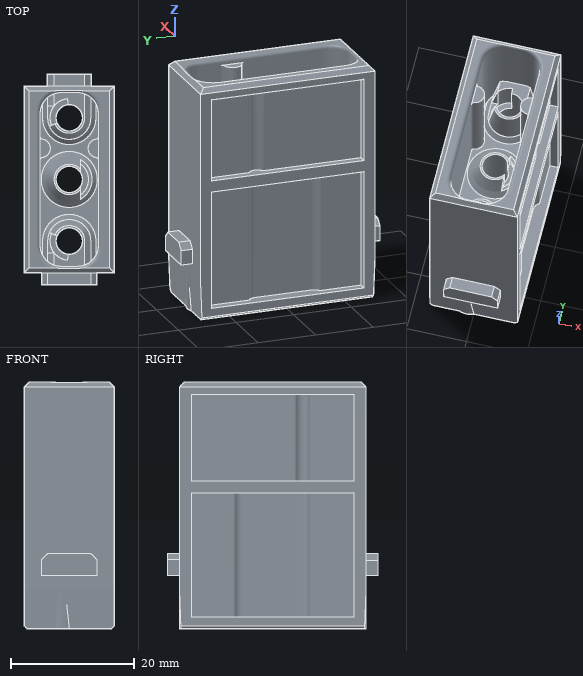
import cadquery as cq
import math

BODY_X = 14.65
BODY_Y = 30.3
BODY_Z = 40.1
TOP_CHAMFER = 0.8
BOTTOM_CHAMFER = 0.5

FOOT_HEIGHT = 6.5
FOOT_INSET = 0.25
FOOT_RIB_RADIUS = 3.0
FOOT_RIB_X = -1.18

OVERALL_Y = 34.2
LUG_REACH = (OVERALL_Y - BODY_Y) / 2
LUG_BOTTOM = 8.65
LUG_HEIGHT = 3.6
FRONT_LUG_CHAMFER = 1.0
BACK_LUG_CHAMFER = 1.1
FRONT_LUG_WIDTH = 9.0
BACK_LUG_WIDTH = 7.2

CAVITY_X = 9.46
CAVITY_Y = 28.2
CAVITY_CORNER = 3.4
CAVITY_FLOOR = 22.1
RIM_FILLET = 0.65

RIB_Y = 5.05
RIB_REACH = 1.66
RIB_FOOT_RADIUS = 0.4
RIB_NOSE_RADIUS = 1.5
RIB_TOP = 39.0

PANEL_Y = 26.45
PANEL_DEPTH = 1.4
UPPER_PANEL_Z = (24.05, 38.1)
LOWER_PANEL_Z = (1.95, 22.1)
GROOVE_Y = 4.95
GROOVE_DEPTH = 0.76
GROOVE_EDGE_RADIUS = 0.46
GROOVE_BOTTOM_RADIUS = 1.27

BORE_PITCH = 10.0
BORE_RADIUS = 2.125
COLLAR_BASE_HEIGHT = 0.85
NECK_BOTTOM = CAVITY_FLOOR + COLLAR_BASE_HEIGHT
END_COLLAR_RADII = (4.33, 3.5, 2.5)
END_NECK_HEIGHT = 4.5
MIDDLE_COLLAR_RADII = (4.55, 3.7, 2.45)
MIDDLE_NECK_HEIGHT = 1.9

RECESS_RADIUS = 3.12
END_NOTCH_Y = 1.95
END_RECESS_START = 95.0
END_RECESS_END = 203.0
MIDDLE_NOTCH_X = 1.8


def block(x_range, y_range, z_range):
    """Axis-aligned box from its three (low, high) ranges."""
    sizes = [high - low for low, high in (x_range, y_range, z_range)]
    corner = (x_range[0], y_range[0], z_range[0])
    return cq.Workplane("XY").box(*sizes, centered=False).translate(corner)


def at_height(z):
    """Horizontal workplane at the given height."""
    return cq.Workplane("XY", origin=(0, 0, z))


def polar(radius, degrees):
    """Point at a radius and angle about the origin."""
    angle = math.radians(degrees)
    return (radius * math.cos(angle), radius * math.sin(angle))


def outer_block():
    """Plain block with drafted ends, foot ribs and bottom chamfers."""
    half_y = BODY_Y / 2
    side = [
        (half_y - FOOT_INSET, 0),
        (half_y, FOOT_HEIGHT),
        (half_y, BODY_Z),
        (-half_y, BODY_Z),
        (-half_y, FOOT_HEIGHT),
        (FOOT_INSET - half_y, 0),
    ]
    shape = cq.Workplane("YZ").polyline(side).close().extrude(BODY_X / 2, both=True)
    shape = shape.faces("<Z").edges("|Y").chamfer(BOTTOM_CHAMFER)
    for end in (-1, 1):
        rib_y = end * (half_y - FOOT_RIB_RADIUS)
        rib = cq.Workplane("XY").center(FOOT_RIB_X, rib_y).circle(FOOT_RIB_RADIUS).extrude(FOOT_HEIGHT)
        shape = shape.union(rib)
    return shape


def cavity():
    """Rounded pocket from the cavity floor to the top of the body."""
    pocket = at_height(CAVITY_FLOOR).rect(CAVITY_X, CAVITY_Y).extrude(BODY_Z - CAVITY_FLOOR)
    return pocket.edges("|Z").fillet(CAVITY_CORNER)


def shell():
    """Block with the cavity, its rounded rim, and the chamfer around the top."""
    shape = outer_block().cut(cavity())
    inside_top = cq.selectors.BoxSelector(
        (-BODY_X / 2 + TOP_CHAMFER, -BODY_Y / 2 + TOP_CHAMFER, BODY_Z - TOP_CHAMFER),
        (BODY_X / 2 - TOP_CHAMFER, BODY_Y / 2 - TOP_CHAMFER, BODY_Z + TOP_CHAMFER),
    )
    shape = shape.faces(">Z").edges(inside_top).fillet(RIM_FILLET)
    envelope = cq.Workplane("XY").rect(BODY_X, BODY_Y).extrude(BODY_Z)
    return shape.intersect(envelope.faces(">Z").chamfer(TOP_CHAMFER))


def lug(width, chamfer, end):
    """Keying lug with two chamfered upper corners; end is -1 (-Y) or 1 (+Y)."""
    half = width / 2
    top = LUG_BOTTOM + LUG_HEIGHT
    outline = [
        (-half, LUG_BOTTOM),
        (half, LUG_BOTTOM),
        (half, top - chamfer),
        (half - chamfer, top),
        (chamfer - half, top),
        (-half, top - chamfer),
    ]
    start = cq.Workplane("XZ", origin=(0, end * BODY_Y / 2, 0))
    return start.polyline(outline).close().extrude(-end * LUG_REACH)


def round_ridge(base_x, reach, foot_radius, nose_radius, y_range, z_range):
    """Ridge rising toward +X from the plane base_x.

    Each flank is a concave foot arc running tangent into a convex nose arc.
    The noses start at the two values of y_range, with a flat between them if those differ.
    """
    both_radii = foot_radius + nose_radius
    turn = math.acos(1 - reach / both_radii)
    half_turn = turn / 2
    nose_x = base_x + reach - nose_radius
    foot_x = base_x + foot_radius

    def flank(nose_y, side):
        """Points from the foot up to the nose, including the middle of both arcs."""
        foot_y = nose_y + side * both_radii * math.sin(turn)
        return [
            (base_x, foot_y),
            (foot_x - foot_radius * math.cos(half_turn), foot_y - side * foot_radius * math.sin(half_turn)),
            (nose_x + nose_radius * math.cos(turn), nose_y + side * nose_radius * math.sin(turn)),
            (nose_x + nose_radius * math.cos(half_turn), nose_y + side * nose_radius * math.sin(half_turn)),
            (base_x + reach, nose_y),
        ]

    low_y, high_y = y_range
    low = flank(low_y, -1)
    high = flank(high_y, 1)
    outline = at_height(z_range[0]).moveTo(*low[0])
    outline = outline.threePointArc(low[1], low[2]).threePointArc(low[3], low[4])
    if high_y > low_y:
        outline = outline.lineTo(*high[4])
    outline = outline.threePointArc(high[3], high[2]).threePointArc(high[1], high[0])
    return outline.close().extrude(z_range[1] - z_range[0])


def cavity_rib():
    """Rib on the -X wall of the cavity."""
    return round_ridge(
        -CAVITY_X / 2, RIB_REACH, RIB_FOOT_RADIUS, RIB_NOSE_RADIUS, (RIB_Y, RIB_Y), (CAVITY_FLOOR, RIB_TOP)
    )


def side_panels():
    """Cut for both recessed panels of the -X side with their grooves."""
    outer_x = -BODY_X / 2
    floor_x = outer_x + PANEL_DEPTH
    panel_y = (-PANEL_Y / 2, PANEL_Y / 2)
    grooves = [(UPPER_PANEL_Z, (GROOVE_Y, GROOVE_Y)), (LOWER_PANEL_Z, (-GROOVE_Y, GROOVE_Y))]
    cut = cq.Workplane("XY")
    for z_range, groove_y in grooves:
        groove = round_ridge(
            floor_x, GROOVE_DEPTH, GROOVE_EDGE_RADIUS, GROOVE_BOTTOM_RADIUS, groove_y, z_range
        )
        cut = cut.add(block((outer_x, floor_x), panel_y, z_range).union(groove))
    return cut.combine()


def collar_outline(radii, neck_height):
    """Radius and Z pairs of a collar, from its base up."""
    return list(zip(radii, (CAVITY_FLOOR, NECK_BOTTOM, NECK_BOTTOM + neck_height)))


def round_collar(outline):
    """Collar revolved about the Z axis."""
    points = [(0, outline[0][1])] + outline + [(0, outline[-1][1])]
    return cq.Workplane("XZ").polyline(points).close().revolve(360, (0, 0), (0, 1))


def end_collar():
    """Collar of the +Y bore, run out to the end wall, notched on its -X flank."""
    right = collar_outline(END_COLLAR_RADII, END_NECK_HEIGHT)
    left = [(-x, z) for x, z in reversed(right)]
    run_out = CAVITY_Y / 2 - BORE_PITCH
    ridge = cq.Workplane("XZ").polyline(right + left).close().extrude(-run_out)
    collar = round_collar(right).union(ridge)

    neck_radius = END_COLLAR_RADII[1]
    notch_end_y = -neck_radius * math.tan(math.radians(END_RECESS_END - 180))
    notch_outline = [(0, 0), (0, END_NOTCH_Y), (-neck_radius, END_NOTCH_Y), (-neck_radius, notch_end_y)]
    notch = at_height(NECK_BOTTOM).polyline(notch_outline).close().extrude(END_NECK_HEIGHT)

    middle = (END_RECESS_START + END_RECESS_END) / 2
    start, half_way, stop = [polar(RECESS_RADIUS, a) for a in (END_RECESS_START, middle, END_RECESS_END)]
    recess = at_height(CAVITY_FLOOR).lineTo(*start).threePointArc(half_way, stop).close()
    recess = recess.extrude(COLLAR_BASE_HEIGHT + END_NECK_HEIGHT)
    return collar.cut(notch).cut(recess).translate((0, BORE_PITCH, 0)).intersect(cavity())


def middle_collar():
    """Collar of the middle bore, notched on its +X flank."""
    collar = round_collar(collar_outline(MIDDLE_COLLAR_RADII, MIDDLE_NECK_HEIGHT))
    neck_radius = MIDDLE_COLLAR_RADII[1]
    top = NECK_BOTTOM + MIDDLE_NECK_HEIGHT
    flank = block((MIDDLE_NOTCH_X, neck_radius), (-neck_radius, neck_radius), (CAVITY_FLOOR, top))
    notch = at_height(NECK_BOTTOM).circle(neck_radius).extrude(MIDDLE_NECK_HEIGHT)
    recess = at_height(CAVITY_FLOOR).circle(RECESS_RADIUS).extrude(top - CAVITY_FLOOR)
    return collar.cut(notch.union(recess).intersect(flank))


part = shell()
part = part.union(lug(FRONT_LUG_WIDTH, FRONT_LUG_CHAMFER, -1))
part = part.union(lug(BACK_LUG_WIDTH, BACK_LUG_CHAMFER, 1))

rib = cavity_rib()
part = part.union(rib).union(rib.mirror("YZ"))

panels = side_panels()
part = part.cut(panels).cut(panels.mirror("YZ"))

collar = end_collar()
part = part.union(collar).union(collar.mirror("XZ")).union(middle_collar())

bores = cq.Workplane("XY").pushPoints([(0, y) for y in (-BORE_PITCH, 0, BORE_PITCH)])
result = part.cut(bores.circle(BORE_RADIUS).extrude(BODY_Z))